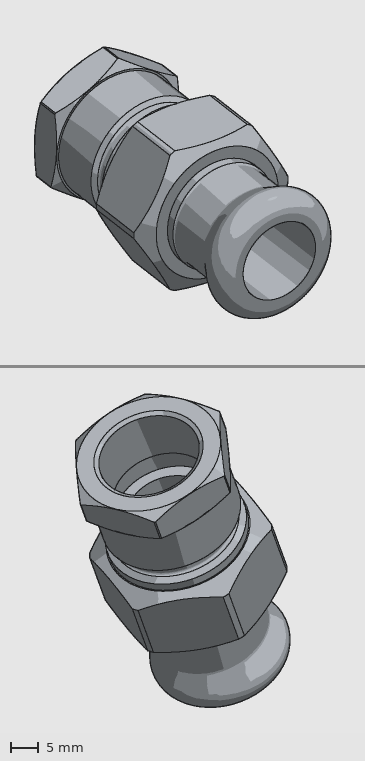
import cadquery as cq
import math

total_length = 59.0
through_bore_radius = 7.95
chamfer_slope = math.tan(math.radians(60))

hex_length = 7.1
hex_across_flats = 27.0
hex_corner_radius = 15.5
hex_face_radius = 13.45
hex_tilt = 3.3

barrel_radius = 13.05
neck_radius = 11.5
neck_start = 18.6
neck_end = 20.0
neck_fillet = 0.5
collar_radius = 13.2

socket_radius = 9.4
socket_mouth_radius = 10.2
socket_mouth_depth = (socket_mouth_radius - socket_radius) / chamfer_slope
thread_end = 11.2
relief_radius = socket_mouth_radius
socket_depth = 15.95

nut_start = 22.95
nut_end = 39.05
nut_across_flats = 30.05
nut_corner_radius = 17.0
nut_face_radius = 13.45
nut_shoulder_length = 2.95
nut_shoulder_start = nut_end - nut_shoulder_length

flange_length = 3.55
seat = nut_shoulder_start - flange_length
boss_radius = 11.0
boss_end = 40.8
tube_radius = 10.55
tube_start = 41.3
flare_start = 50.2
flare_angle = math.radians(30)
flare_fillet = 1.3
bead_radius = 13.05
bead_round = 3.5


def revolve_about_x(profile):
    """Turn a closed (x, radius) outline about the X axis."""
    return profile.close().revolve(360, (0, 0, 0), (1, 0, 0))


def chamfered_hexagon(start, length, across_flats, corner_radius, face_radius, turn):
    """Hexagonal prism along X with trimmed corners and both ends turned to a cone."""
    circumscribed_diameter = across_flats / math.cos(math.radians(30))
    prism = (
        cq.Workplane("YZ", origin=(start, 0, 0))
        .polygon(6, circumscribed_diameter)
        .extrude(length)
        .rotate((0, 0, 0), (1, 0, 0), turn)
    )
    cone_length = (corner_radius - face_radius) / chamfer_slope
    end = start + length
    envelope = revolve_about_x(
        cq.Workplane("XY")
        .moveTo(start, 0)
        .lineTo(start, face_radius)
        .lineTo(start + cone_length, corner_radius)
        .lineTo(end - cone_length, corner_radius)
        .lineTo(end, face_radius)
        .lineTo(end, 0)
    )
    return prism.intersect(envelope)


def make_female_end():
    corner_offset = neck_fillet * math.sin(math.radians(45))
    corner_rise = neck_fillet - corner_offset
    flank_foot = neck_radius + neck_fillet
    barrel_end = neck_start - neck_fillet - (barrel_radius - flank_foot) / chamfer_slope
    collar_start = neck_end + neck_fillet + (collar_radius - flank_foot) / chamfer_slope
    barrel = revolve_about_x(
        cq.Workplane("XY")
        .moveTo(hex_length / 2, 0)
        .lineTo(hex_length / 2, barrel_radius)
        .lineTo(barrel_end, barrel_radius)
        .lineTo(neck_start - neck_fillet, flank_foot)
        .threePointArc(
            (neck_start - corner_offset, neck_radius + corner_rise), (neck_start, neck_radius)
        )
        .lineTo(neck_end, neck_radius)
        .threePointArc(
            (neck_end + corner_offset, neck_radius + corner_rise),
            (neck_end + neck_fillet, flank_foot),
        )
        .lineTo(collar_start, collar_radius)
        .lineTo(seat, collar_radius)
        .lineTo(seat, 0)
    )
    hexagon = chamfered_hexagon(
        0, hex_length, hex_across_flats, hex_corner_radius, hex_face_radius, 90 - hex_tilt
    )
    socket = revolve_about_x(
        cq.Workplane("XY")
        .moveTo(0, 0)
        .lineTo(0, socket_mouth_radius)
        .lineTo(socket_mouth_depth, socket_radius)
        .lineTo(thread_end, socket_radius)
        .lineTo(thread_end, relief_radius)
        .lineTo(socket_depth, relief_radius)
        .lineTo(socket_depth, through_bore_radius)
        .lineTo(seat, through_bore_radius)
        .lineTo(seat, 0)
    )
    return hexagon.union(barrel).cut(socket)


def make_union_nut():
    hexagon = chamfered_hexagon(
        nut_start, nut_end - nut_start, nut_across_flats, nut_corner_radius, nut_face_radius, 0
    )
    bore = revolve_about_x(
        cq.Workplane("XY")
        .moveTo(nut_start, 0)
        .lineTo(nut_start, collar_radius)
        .lineTo(nut_shoulder_start, collar_radius)
        .lineTo(nut_shoulder_start, boss_radius)
        .lineTo(nut_end, boss_radius)
        .lineTo(nut_end, 0)
    )
    return hexagon.cut(bore)


def make_press_tail():
    boss_step = boss_radius - tube_radius
    boss_arc_run = tube_start - boss_end
    boss_arc_radius = (boss_arc_run**2 + boss_step**2) / (2 * boss_step)
    boss_arc_half = math.asin(boss_arc_run / boss_arc_radius) / 2
    boss_arc_middle = (
        tube_start - boss_arc_radius * math.sin(boss_arc_half),
        tube_radius + boss_arc_radius * (1 - math.cos(boss_arc_half)),
    )
    tangent = flare_fillet * math.tan(flare_angle / 2)
    flare_arc_start = flare_start - tangent
    flare_arc_middle = (
        flare_arc_start + flare_fillet * math.sin(flare_angle / 2),
        tube_radius + flare_fillet * (1 - math.cos(flare_angle / 2)),
    )
    flare_arc_end = (
        flare_start + tangent * math.cos(flare_angle),
        tube_radius + tangent * math.sin(flare_angle),
    )
    bead_x = total_length - bead_round
    bead_center_radius = bead_radius - bead_round
    bead_start_radius = bead_center_radius + bead_round * math.cos(flare_angle)
    bead_start = bead_x - bead_round * math.sin(flare_angle)
    body = (
        cq.Workplane("XY")
        .moveTo(seat, through_bore_radius)
        .lineTo(seat, collar_radius)
        .lineTo(nut_shoulder_start, collar_radius)
        .lineTo(nut_shoulder_start, boss_radius)
        .lineTo(boss_end, boss_radius)
        .threePointArc(boss_arc_middle, (tube_start, tube_radius))
        .lineTo(flare_arc_start, tube_radius)
        .threePointArc(flare_arc_middle, flare_arc_end)
        .lineTo(bead_start, bead_start_radius)
        .threePointArc((bead_x, bead_radius), (total_length, bead_center_radius))
        .lineTo(total_length, through_bore_radius)
    )
    return revolve_about_x(body)


female_end = make_female_end()
union_nut = make_union_nut()
press_tail = make_press_tail()

result = cq.Compound.makeCompound(
    [*female_end.solids().vals(), *union_nut.solids().vals(), *press_tail.solids().vals()]
)